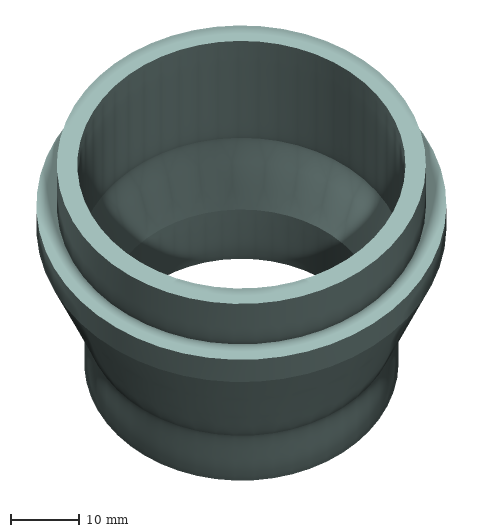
import cadquery as cq

flange_diameter = 60
collar_diameter = 54
spigot_diameter = 46.0

upper_bore_diameter = 48
lower_bore_diameter = 40.0

total_height = 44.0
spigot_height = 10.0
flange_height = 5.0
collar_height = 9
upper_bore_depth = 21.6
inner_cone_height = 11.4

flange_top = total_height - collar_height
flange_bottom = flange_top - flange_height
inner_cone_top = total_height - upper_bore_depth
inner_cone_bottom = inner_cone_top - inner_cone_height

half_section = (
    cq.Workplane("XZ")
    .moveTo(lower_bore_diameter / 2, 0)
    .lineTo(spigot_diameter / 2, 0)
    .lineTo(spigot_diameter / 2, spigot_height)
    .lineTo(flange_diameter / 2, flange_bottom)
    .lineTo(flange_diameter / 2, flange_top)
    .lineTo(collar_diameter / 2, flange_top)
    .lineTo(collar_diameter / 2, total_height)
    .lineTo(upper_bore_diameter / 2, total_height)
    .lineTo(upper_bore_diameter / 2, inner_cone_top)
    .lineTo(lower_bore_diameter / 2, inner_cone_bottom)
    .close()
)

result = half_section.revolve(360, (0, 0, 0), (0, 1, 0))